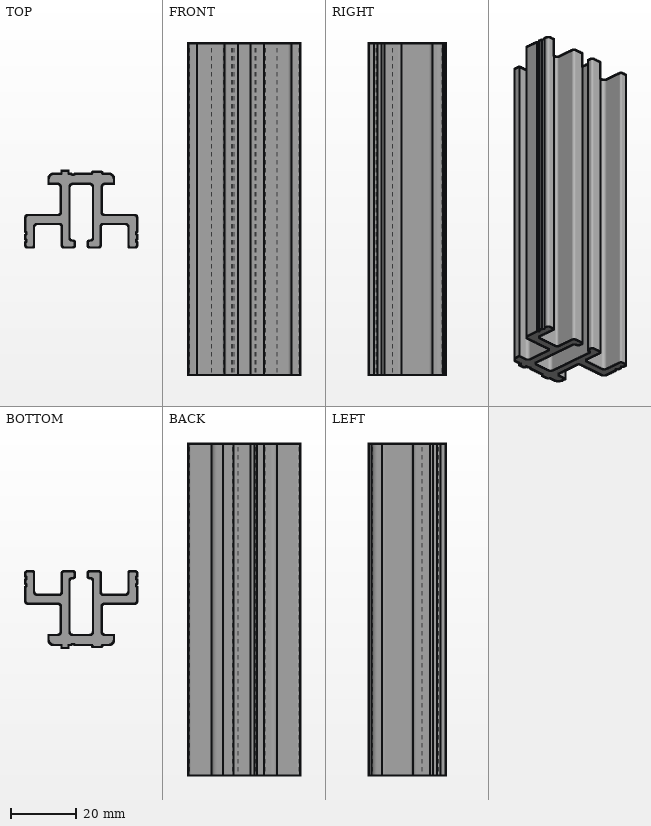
import cadquery as cq

LENGTH = 101.6
HALF_WIDTH = 17.2
HEIGHT = 23.6

FLANGE_HALF_WIDTH = 10.1
FLANGE_TOP = 22.7
FLANGE_BOTTOM = 19.5
FLANGE_CORNER_RADIUS = 1.7

CHANNEL_HALF_WIDTH = 3.6
UPPER_WEB_OUTER = 6.3
LOWER_WEB_OUTER = 6.0

MOUTH_HALF_WIDTH = 1.9
LIP_TOP = 2.2
LIP_RADIUS = 0.7

ARM_TOP = 10.1
ARM_BOTTOM = 7.2
LEG_INNER = 14.4

FILLET_RADIUS = 1.0
ARM_ROOT_RADIUS = 0.7
FOOT_OUTER_RADIUS = 0.8
FOOT_INNER_RADIUS = 0.5

LEG_GROOVE_HEIGHTS = (2.1, 4.4)
LEG_GROOVE_RADIUS = 0.5
LEG_GROOVE_DEPTH = 0.4

SQUARE_RIB_CENTER = -5.0
SQUARE_RIB_WIDTH = 2.2
ROUND_RIB_CENTER = 4.9
ROUND_RIB_WIDTH = 3.3
ROUND_RIB_HEIGHT = 0.6
ROUND_RIB_CORNER_RADIUS = 0.6
MARK_GROOVE_CENTER = -2.5
MARK_GROOVE_WIDTH = 1.2
MARK_GROOVE_DEPTH = 0.3


def box(x_min, x_max, y_min, y_max):
    """Full-length bar with the given rectangular section."""
    width = x_max - x_min
    depth = y_max - y_min
    return cq.Workplane("XY").box(width, depth, LENGTH, centered=False).translate((x_min, y_min, 0))


def round_edges(body, points, radius):
    """Round the lengthwise edges through the given section points, on both sides."""
    selector = None
    margin = 0.01
    for x, y in points:
        for side in (-1, 1):
            near_edge = cq.selectors.BoxSelector(
                (side * x - margin, y - margin, -margin),
                (side * x + margin, y + margin, LENGTH + margin),
                boundingbox=True,
            )
            selector = near_edge if selector is None else selector + near_edge
    return body.edges(selector).fillet(radius)


def make_half_section():
    """Sharp-cornered bar for the +X half of the profile."""
    outline = [
        (0, FLANGE_TOP),
        (FLANGE_HALF_WIDTH, FLANGE_TOP),
        (FLANGE_HALF_WIDTH, FLANGE_BOTTOM),
        (UPPER_WEB_OUTER, FLANGE_BOTTOM),
        (UPPER_WEB_OUTER, ARM_TOP),
        (HALF_WIDTH, ARM_TOP),
        (HALF_WIDTH, 0),
        (LEG_INNER, 0),
        (LEG_INNER, ARM_BOTTOM),
        (LOWER_WEB_OUTER, ARM_BOTTOM),
        (LOWER_WEB_OUTER, 0),
        (MOUTH_HALF_WIDTH, 0),
        (MOUTH_HALF_WIDTH, LIP_TOP),
        (CHANNEL_HALF_WIDTH, LIP_TOP),
        (CHANNEL_HALF_WIDTH, FLANGE_BOTTOM),
        (0, FLANGE_BOTTOM),
    ]
    return cq.Workplane("XY").polyline(outline).close().extrude(LENGTH)


def make_rounded_profile():
    """Symmetric profile with all corners rounded."""
    half = make_half_section()
    body = half.union(half.mirror("YZ")).clean()
    body = round_edges(body, [(FLANGE_HALF_WIDTH, FLANGE_TOP)], FLANGE_CORNER_RADIUS)
    inside_corners = [
        (UPPER_WEB_OUTER, FLANGE_BOTTOM),
        (CHANNEL_HALF_WIDTH, FLANGE_BOTTOM),
        (HALF_WIDTH, ARM_TOP),
        (LEG_INNER, ARM_BOTTOM),
    ]
    body = round_edges(body, inside_corners, FILLET_RADIUS)
    arm_roots = [(UPPER_WEB_OUTER, ARM_TOP), (LOWER_WEB_OUTER, ARM_BOTTOM)]
    body = round_edges(body, arm_roots, ARM_ROOT_RADIUS)
    lip_corners = [
        (MOUTH_HALF_WIDTH, 0),
        (MOUTH_HALF_WIDTH, LIP_TOP),
        (CHANNEL_HALF_WIDTH, LIP_TOP),
    ]
    body = round_edges(body, lip_corners, LIP_RADIUS)
    body = round_edges(body, [(HALF_WIDTH, 0), (LOWER_WEB_OUTER, 0)], FOOT_OUTER_RADIUS)
    return round_edges(body, [(LEG_INNER, 0)], FOOT_INNER_RADIUS)


def make_leg_grooves():
    """Cutters for the round grooves on both outer faces."""
    center_x = HALF_WIDTH + LEG_GROOVE_RADIUS - LEG_GROOVE_DEPTH
    centers = [(side * center_x, y) for side in (-1, 1) for y in LEG_GROOVE_HEIGHTS]
    return cq.Workplane("XY").pushPoints(centers).circle(LEG_GROOVE_RADIUS).extrude(LENGTH)


def make_square_rib():
    half_rib = SQUARE_RIB_WIDTH / 2
    return box(SQUARE_RIB_CENTER - half_rib, SQUARE_RIB_CENTER + half_rib, FLANGE_BOTTOM, HEIGHT)


def make_round_rib():
    half_rib = ROUND_RIB_WIDTH / 2
    rib_top = FLANGE_TOP + ROUND_RIB_HEIGHT
    rib = box(ROUND_RIB_CENTER - half_rib, ROUND_RIB_CENTER + half_rib, FLANGE_BOTTOM, rib_top)
    return rib.faces(">Y").edges("|Z").fillet(ROUND_RIB_CORNER_RADIUS)


def make_mark_groove():
    """Cutter for the shallow arc groove in the flange top."""
    half_groove = MARK_GROOVE_WIDTH / 2
    return (
        cq.Workplane("XY")
        .moveTo(MARK_GROOVE_CENTER - half_groove, FLANGE_TOP)
        .threePointArc(
            (MARK_GROOVE_CENTER, FLANGE_TOP - MARK_GROOVE_DEPTH),
            (MARK_GROOVE_CENTER + half_groove, FLANGE_TOP),
        )
        .close()
        .extrude(LENGTH)
    )


profile = make_rounded_profile().union(make_square_rib()).union(make_round_rib())
profile = profile.cut(make_leg_grooves()).cut(make_mark_groove())

result = profile.translate((0, -HEIGHT / 2, -LENGTH / 2))